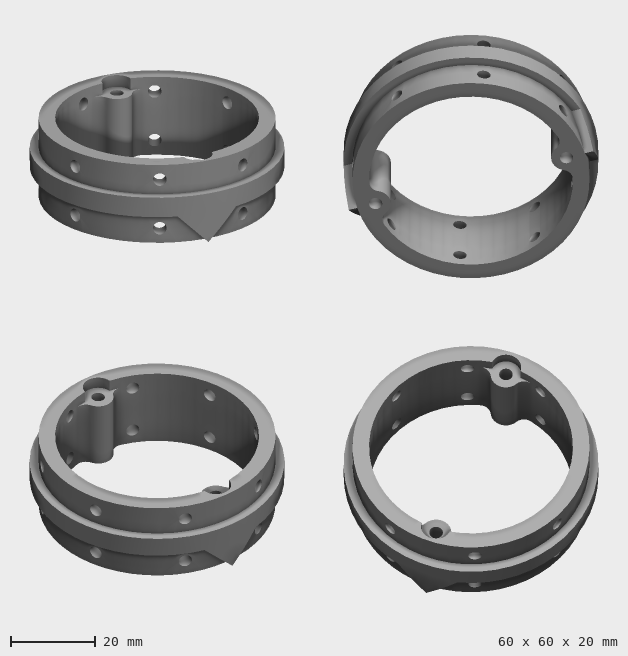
import cadquery as cq
import math

flange_radius = 30.0
body_radius = 27.9
bore_radius = 24.0
height = 20.0
flange_bottom = 7.5
flange_top = 12.5

boss_offset = 23.4
boss_radius = 3.6
boss_recess = 3.0
boss_fillet = 2.65
screw_hole_diameter = 3.2

radial_hole_diameter = 3.2
holes_per_row = 8
hole_rows = (flange_bottom / 2, (flange_top + height) / 2)

pointer_half_width = flange_bottom


def cylinder(radius, bottom, top):
    return cq.Workplane("XY").workplane(offset=bottom).circle(radius).extrude(top - bottom)


def boss(side):
    """Boss on the +X (side=1) or -X (side=-1) wall, blended into the bore by concave fillets."""
    fillet_center_distance = bore_radius - boss_fillet
    boss_to_fillet = boss_radius + boss_fillet
    fillet_x = (fillet_center_distance**2 - boss_to_fillet**2 + boss_offset**2) / (2 * boss_offset)
    fillet_y = math.sqrt(fillet_center_distance**2 - fillet_x**2)

    wall_scale = bore_radius / fillet_center_distance
    wall_x = fillet_x * wall_scale
    wall_y = fillet_y * wall_scale
    boss_share = boss_radius / boss_to_fillet
    boss_x = boss_offset + (fillet_x - boss_offset) * boss_share
    boss_y = fillet_y * boss_share

    chord_x = (wall_x + boss_x) / 2 - fillet_x
    chord_y = (wall_y + boss_y) / 2 - fillet_y
    chord_distance = math.hypot(chord_x, chord_y)
    middle_x = fillet_x + chord_x / chord_distance * boss_fillet
    middle_y = fillet_y + chord_y / chord_distance * boss_fillet

    back_x = (bore_radius + body_radius) / 2
    return (
        cq.Workplane("XY")
        .moveTo(side * wall_x, wall_y)
        .threePointArc((side * middle_x, middle_y), (side * boss_x, boss_y))
        .threePointArc((side * (boss_offset - boss_radius), 0), (side * boss_x, -boss_y))
        .threePointArc((side * middle_x, -middle_y), (side * wall_x, -wall_y))
        .lineTo(side * back_x, 0)
        .close()
        .extrude(height - boss_recess)
    )


def pointers():
    """Triangles on the -X and +X sides, level with the rim of the flange and merged into the ring wall."""
    triangle = (
        cq.Workplane("YZ")
        .workplane(offset=-flange_radius)
        .polyline([(-pointer_half_width, flange_bottom), (0, 0), (pointer_half_width, flange_bottom)])
        .close()
        .extrude(2 * flange_radius)
    )
    shell = cylinder(flange_radius, 0, flange_bottom).cut(cylinder(bore_radius, 0, flange_bottom))
    return shell.intersect(triangle)


def radial_hole(angle, z):
    return (
        cq.Workplane("YZ")
        .center(0, z)
        .circle(radial_hole_diameter / 2)
        .extrude(flange_radius)
        .rotate((0, 0, 0), (0, 0, 1), angle)
    )


result = cylinder(body_radius, 0, height).union(cylinder(flange_radius, flange_bottom, flange_top))
result = result.cut(cylinder(bore_radius, 0, height)).union(pointers())

for side in (-1, 1):
    recess = cylinder(boss_radius, height - boss_recess, height)
    screw_hole = cylinder(screw_hole_diameter / 2, 0, height)
    position = (side * boss_offset, 0, 0)
    result = result.union(boss(side))
    result = result.cut(recess.translate(position)).cut(screw_hole.translate(position))

pitch_angle = 360 / holes_per_row
for row_height in hole_rows:
    for index in range(holes_per_row):
        result = result.cut(radial_hole((index + 0.5) * pitch_angle, row_height))